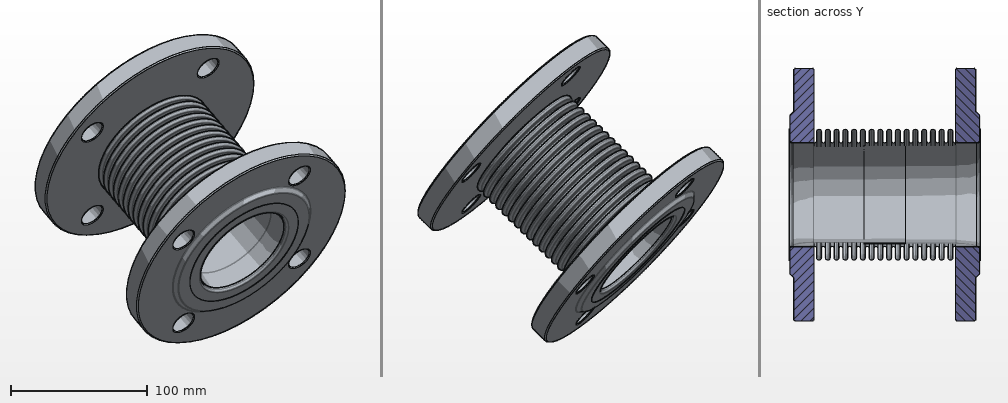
import cadquery as cq
import math

face_to_face = 139.0
sheet = 0.4

flange_diameter = 185.0
plate_thickness = 15.0
plate_chamfer = 1.0
raised_face_diameter = 122.0
raised_face_height = 3.0
raised_face_blend = 1.0
bolt_circle_diameter = 145.0
bolt_hole_diameter = 18.0
bolt_hole_chamfer = 0.7
bolt_count = 4

tube_diameter = 76.1
bellows_diameter = 96.0
lip_bend_radius = 1.85
convolution_count = 16
convolution_pitch = 6.4
crest_radius = 2.0

liner_clearance = 0.3
inner_liner_bore = 70.0
liner_recess = 2.9
flare_length = 15.0
liner_reach = 15.0

face_x = face_to_face / 2
lip_x = face_x + sheet
plate_outer_x = face_x - raised_face_height
plate_inner_x = plate_outer_x - plate_thickness
tube_radius = tube_diameter / 2
tube_bore_radius = tube_radius - sheet
bellows_radius = bellows_diameter / 2
flange_bend_radius = lip_bend_radius - sheet
root_radius = convolution_pitch / 2 - crest_radius
mouth_x = lip_x - liner_recess
mouth_radius = tube_bore_radius - liner_clearance - sheet
outer_liner_bore = inner_liner_bore + 2 * (sheet + liner_clearance)


def revolve_about_x(profile):
    """Turn a closed profile, drawn as (X, radius), into a solid of revolution."""
    return profile.close().revolve(360, (0, 0, 0), (1, 0, 0))


def quarter_middle(centre_x, centre_r, radius, x_side, r_side):
    """Middle point of a quarter arc; the sides (+1 or -1) pick the quadrant."""
    offset = radius * math.sqrt(0.5)
    return (centre_x + x_side * offset, centre_r + r_side * offset)


def make_bolt_holes():
    """Tools that cut the bolt holes, each chamfered at both faces of the plate."""
    hole_radius = bolt_hole_diameter / 2
    rim_radius = hole_radius + bolt_hole_chamfer
    hole = (
        cq.Workplane("XY")
        .moveTo(plate_inner_x, 0)
        .lineTo(plate_inner_x, rim_radius)
        .lineTo(plate_inner_x + bolt_hole_chamfer, hole_radius)
        .lineTo(plate_outer_x - bolt_hole_chamfer, hole_radius)
        .lineTo(plate_outer_x, rim_radius)
        .lineTo(plate_outer_x, 0)
    )
    tool = revolve_about_x(hole).translate((0, bolt_circle_diameter / 2, 0))
    step = 360 / bolt_count
    return [tool.rotate((0, 0, 0), (1, 0, 0), (index + 0.5) * step) for index in range(bolt_count)]


def make_flange():
    """Flange at the +X end, with a conical raised face and a bore that fits the bellows tube."""
    outer_radius = flange_diameter / 2
    foot_radius = raised_face_diameter / 2
    rim_radius = foot_radius - raised_face_height
    bend_x = face_x - flange_bend_radius
    bend_r = tube_radius + flange_bend_radius
    half_turn = math.radians(45 / 2)
    blend_setback = raised_face_blend * math.tan(half_turn)
    blend_slant = blend_setback * math.sqrt(0.5)
    blend_middle_x = raised_face_blend * (1 - math.cos(half_turn))
    blend_middle_r = blend_setback - raised_face_blend * math.sin(half_turn)
    profile = (
        cq.Workplane("XY")
        .moveTo(plate_inner_x, tube_radius)
        .lineTo(plate_inner_x, outer_radius - plate_chamfer)
        .lineTo(plate_inner_x + plate_chamfer, outer_radius)
        .lineTo(plate_outer_x - plate_chamfer, outer_radius)
        .lineTo(plate_outer_x, outer_radius - plate_chamfer)
        .lineTo(plate_outer_x, foot_radius + blend_setback)
        .threePointArc(
            (plate_outer_x + blend_middle_x, foot_radius + blend_middle_r),
            (plate_outer_x + blend_slant, foot_radius - blend_slant),
        )
        .lineTo(face_x - blend_slant, rim_radius + blend_slant)
        .threePointArc(
            (face_x - blend_middle_x, rim_radius - blend_middle_r),
            (face_x, rim_radius - blend_setback),
        )
        .lineTo(face_x, bend_r)
        .threePointArc(quarter_middle(bend_x, bend_r, flange_bend_radius, 1, -1), (bend_x, tube_radius))
    )
    flange = revolve_about_x(profile)
    for hole in make_bolt_holes():
        flange = flange.cut(hole)
    return flange


def add_convolution(profile, centre_x, inset):
    """Continue a bellows profile from one root bottom, over a crest, to the next root bottom."""
    crest = crest_radius - inset
    root = root_radius + inset
    crest_top = bellows_radius - inset
    crest_centre = crest_top - crest
    root_bottom = tube_radius - inset
    root_centre = root_bottom + root
    start_x = centre_x - convolution_pitch / 2
    end_x = centre_x + convolution_pitch / 2
    return (
        profile
        .threePointArc(quarter_middle(start_x, root_centre, root, 1, -1), (start_x + root, root_centre))
        .lineTo(centre_x - crest, crest_centre)
        .threePointArc(quarter_middle(centre_x, crest_centre, crest, -1, 1), (centre_x, crest_top))
        .threePointArc(quarter_middle(centre_x, crest_centre, crest, 1, 1), (centre_x + crest, crest_centre))
        .lineTo(end_x - root, root_centre)
        .threePointArc(quarter_middle(end_x, root_centre, root, -1, -1), (end_x, root_bottom))
    )


def make_bellows_core(inset):
    """Solid bounded by one side of the bellows sheet: inset 0 for the outside, the sheet for the inside."""
    end_x = face_x + inset
    radius = tube_radius - inset
    bend_radius = flange_bend_radius + inset
    bend_x = end_x - bend_radius
    bend_r = radius + bend_radius
    corrugated_end_x = convolution_count * convolution_pitch / 2
    profile = (
        cq.Workplane("XY")
        .moveTo(-end_x, 0)
        .lineTo(-end_x, bend_r)
        .threePointArc(quarter_middle(-bend_x, bend_r, bend_radius, -1, -1), (-bend_x, radius))
        .lineTo(-corrugated_end_x, radius)
    )
    for index in range(convolution_count):
        centre_x = (index - (convolution_count - 1) / 2) * convolution_pitch
        profile = add_convolution(profile, centre_x, inset)
    profile = (
        profile
        .lineTo(bend_x, radius)
        .threePointArc(quarter_middle(bend_x, bend_r, bend_radius, 1, -1), (end_x, bend_r))
        .lineTo(end_x, 0)
    )
    return revolve_about_x(profile)


def make_bellows():
    """Thin convoluted tube whose end lips fold out over the raised faces."""
    outside = make_bellows_core(0)
    for side in (-1, 1):
        lip = cq.Workplane("YZ", origin=(side * face_x, 0, 0)).circle(bellows_radius).extrude(side * sheet)
        outside = outside.union(lip)
    return outside.cut(make_bellows_core(sheet))


def make_liner(bore_diameter):
    """Sleeve from the +X end with a rounded, widening mouth."""
    bore_radius = bore_diameter / 2
    throat_x = mouth_x - flare_length
    flare_rise = mouth_radius - bore_radius
    flare_radius = (flare_length**2 + flare_rise**2) / (2 * flare_rise)
    half_angle = math.asin(flare_length / flare_radius) / 2
    flare_middle_x = throat_x + flare_radius * math.sin(half_angle)
    flare_middle_r = bore_radius + flare_radius * (1 - math.cos(half_angle))
    profile = (
        cq.Workplane("XY")
        .moveTo(-liner_reach, bore_radius)
        .lineTo(throat_x, bore_radius)
        .threePointArc((flare_middle_x, flare_middle_r), (mouth_x, mouth_radius))
        .lineTo(mouth_x, mouth_radius + sheet)
        .threePointArc((flare_middle_x, flare_middle_r + sheet), (throat_x, bore_radius + sheet))
        .lineTo(-liner_reach, bore_radius + sheet)
    )
    return revolve_about_x(profile)


right_flange = make_flange()
left_flange = right_flange.mirror("YZ")
bellows = make_bellows()
inner_liner = make_liner(inner_liner_bore).mirror("YZ")
outer_liner = make_liner(outer_liner_bore)

result = cq.Compound.makeCompound([
    left_flange.val(),
    right_flange.val(),
    bellows.val(),
    inner_liner.val(),
    outer_liner.val(),
])